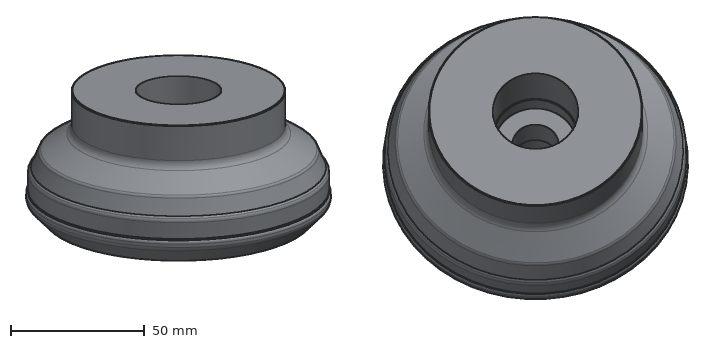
import cadquery as cq

total_height = 50.0
outer_radius = 57.1
bore_radius = 17.5 / 2

base_height = 10.2
base_bottom_radius = 50.5
rim_underside_radius = 56.4
rim_underside_z = 6.2
rim_side_bottom_z = 7.8
rim_side_top_z = 9.0

skirt_radius = 112.9 / 2
skirt_bottom_chamfer = 0.7
skirt_bottom_inset = 0.2
skirt_top_z = 17.4
shoulder_radius = 56.0
shoulder_z = 18.7

cone_foot_radius = 55.3
cone_foot_z = 19.4
steep_cone_top_radius = 52.5
steep_cone_top_z = 25.7
shallow_cone_foot_radius = 51.7
shallow_cone_foot_z = 26.6
shallow_cone_top_radius = 41.9
shallow_cone_top_z = 32.9

neck_radius = 80.0 / 2
neck_foot_z = 36.2
neck_chamfer = 0.3

recess_radius = 32.0 / 2
ledge_depth = 20.4
ledge_width = 0.5
lower_recess_radius = recess_radius - ledge_width
recess_depth = 27.4


def make_base():
    """Lower disc, revolved about Z, with the through bore."""
    profile = (
        cq.Workplane("XZ")
        .moveTo(bore_radius, 0)
        .lineTo(base_bottom_radius, 0)
        .lineTo(rim_underside_radius, rim_underside_z)
        .tangentArcPoint((outer_radius, rim_side_bottom_z), relative=False)
        .lineTo(outer_radius, rim_side_top_z)
        .tangentArcPoint((skirt_radius, base_height), relative=False)
        .lineTo(bore_radius, base_height)
        .close()
    )
    return profile.revolve(360, (0, 0, 0), (0, 1, 0))


def make_housing_blank():
    """Outer form of the housing, revolved about Z, before the openings are cut."""
    profile = (
        cq.Workplane("XZ")
        .moveTo(0, base_height)
        .lineTo(skirt_radius - skirt_bottom_inset, base_height)
        .lineTo(skirt_radius, base_height + skirt_bottom_chamfer)
        .lineTo(skirt_radius, skirt_top_z)
        .tangentArcPoint((shoulder_radius, shoulder_z), relative=False)
        .lineTo(cone_foot_radius, cone_foot_z)
        .lineTo(steep_cone_top_radius, steep_cone_top_z)
        .tangentArcPoint((shallow_cone_foot_radius, shallow_cone_foot_z), relative=False)
        .lineTo(shallow_cone_top_radius, shallow_cone_top_z)
        .tangentArcPoint((neck_radius, neck_foot_z), relative=False)
        .lineTo(neck_radius, total_height - neck_chamfer)
        .lineTo(neck_radius - neck_chamfer, total_height)
        .lineTo(0, total_height)
        .close()
    )
    return profile.revolve(360, (0, 0, 0), (0, 1, 0))


def make_recess_cutter():
    """Round recess whose lower part is slightly narrower, leaving a small ledge."""
    top = cq.Workplane("XY").workplane(offset=total_height)
    upper = top.circle(recess_radius).extrude(-ledge_depth)
    lower = top.circle(lower_recess_radius).extrude(-recess_depth)
    return upper.union(lower)


def make_bore_cutter():
    """Through bore along Z."""
    return cq.Workplane("XY").circle(bore_radius).extrude(total_height)


def make_housing():
    """Stepped conical housing with the recess and the through bore."""
    return make_housing_blank().cut(make_recess_cutter()).cut(make_bore_cutter())


base = make_base()
housing = make_housing()

result = cq.Compound.makeCompound([base.val(), housing.val()])